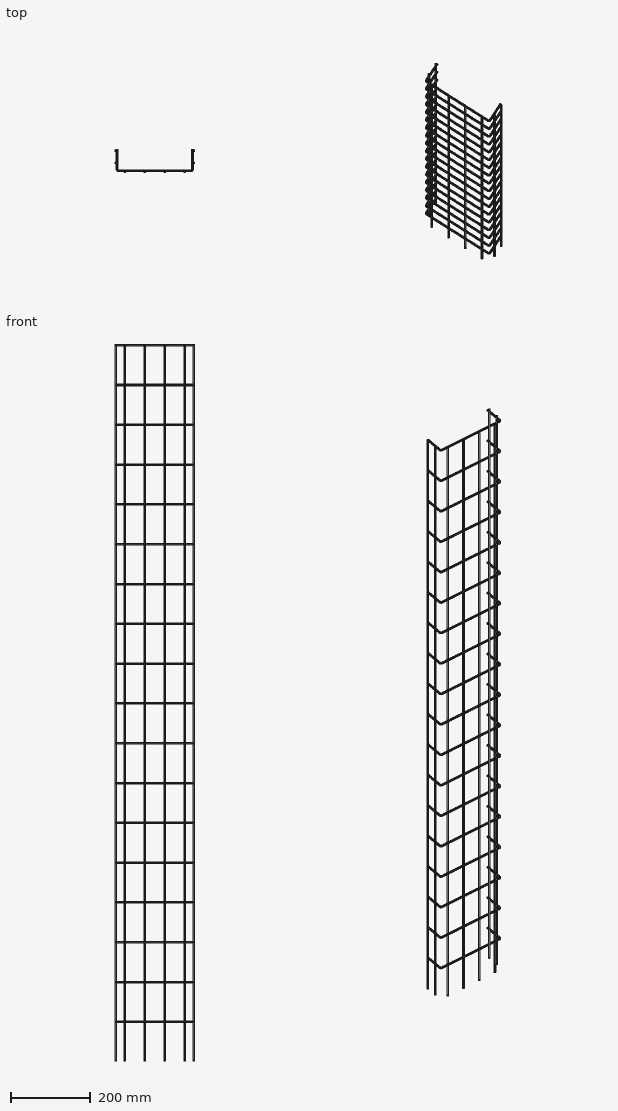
import cadquery as cq

length = 1800.0
width = 200.0
depth = 58.0

wire_dia = 4.0
wire_radius = wire_dia / 2
weld_overlap = 0.9
crossing_offset = wire_dia - weld_overlap

rung_count = 18
rung_pitch = length / rung_count
bend_radius = 4.0
leg_end_length = 0.5

base_wire_count = 4
base_wire_pitch = rung_pitch / 2
side_wire_pitch = 30.0

side_wire_x = width / 2 - wire_radius
leg_x = side_wire_x - crossing_offset
base_wire_y = wire_radius
rung_base_y = base_wire_y + crossing_offset
top_wire_y = depth - leg_end_length - wire_radius
middle_wire_y = top_wire_y - side_wire_pitch
top_rung_z = length - wire_radius


def make_rung(z):
    """Bent cross wire with its centre line at height z."""
    path = (
        cq.Workplane("XY", origin=(0, 0, z))
        .moveTo(-leg_x, depth)
        .lineTo(-leg_x, rung_base_y + bend_radius)
        .radiusArc((-leg_x + bend_radius, rung_base_y), -bend_radius)
        .lineTo(leg_x - bend_radius, rung_base_y)
        .radiusArc((leg_x, rung_base_y + bend_radius), -bend_radius)
        .lineTo(leg_x, depth)
    )
    section = cq.Workplane("XZ", origin=(-leg_x, depth, z)).circle(wire_radius)
    return section.sweep(path).val()


def make_long_wires():
    """Straight wires along Z: evenly spaced under the base, and two on each side."""
    first_base_x = -(base_wire_count - 1) * base_wire_pitch / 2
    base_points = [(first_base_x + i * base_wire_pitch, base_wire_y) for i in range(base_wire_count)]
    side_points = [
        (x, y)
        for x in (-side_wire_x, side_wire_x)
        for y in (middle_wire_y, top_wire_y)
    ]
    wires = (
        cq.Workplane("XY")
        .pushPoints(base_points + side_points)
        .circle(wire_radius)
        .extrude(length)
    )
    return wires.solids().vals()


rungs = [make_rung(top_rung_z - i * rung_pitch) for i in range(rung_count)]
first_wire, *other_wires = make_long_wires()

result = cq.Workplane(obj=first_wire.fuse(*other_wires, *rungs)).solids()